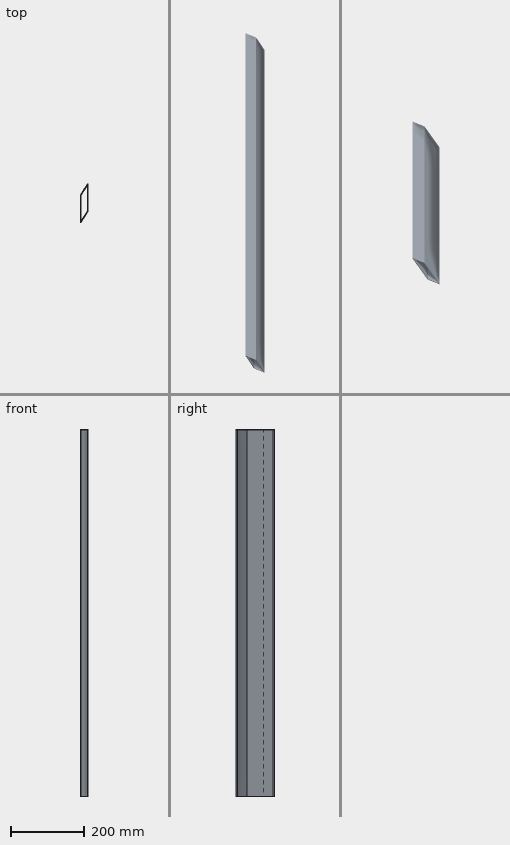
import cadquery as cq
import math

width = 20.0
depth = 104.96
length = 1000.0
slant_rise = 30.1
tip_flat = 0.9
wall = 1.5

half_width = width / 2
half_depth = depth / 2
slant_angle = math.atan2(slant_rise, width - tip_flat)


def bar(half_section):
    """Extrude a section given by half its corners; a half turn about Z gives the rest."""
    other_half = [(-x, -y) for x, y in half_section]
    base = cq.Workplane("XY").workplane(offset=-length / 2)
    return base.polyline(half_section + other_half).close().extrude(length)


def bore_floor(x):
    """Y of the bore's lower slanted face at a given X."""
    slant_face = -half_depth + math.tan(slant_angle) * (x + half_width - tip_flat)
    return slant_face + wall / math.cos(slant_angle)


outer_bar = bar([
    (-half_width, -half_depth),
    (-half_width + tip_flat, -half_depth),
    (half_width, -half_depth + slant_rise),
])

bore_half_width = half_width - wall
bore = bar([
    (-bore_half_width, bore_floor(-bore_half_width)),
    (bore_half_width, bore_floor(bore_half_width)),
])

result = outer_bar.cut(bore)